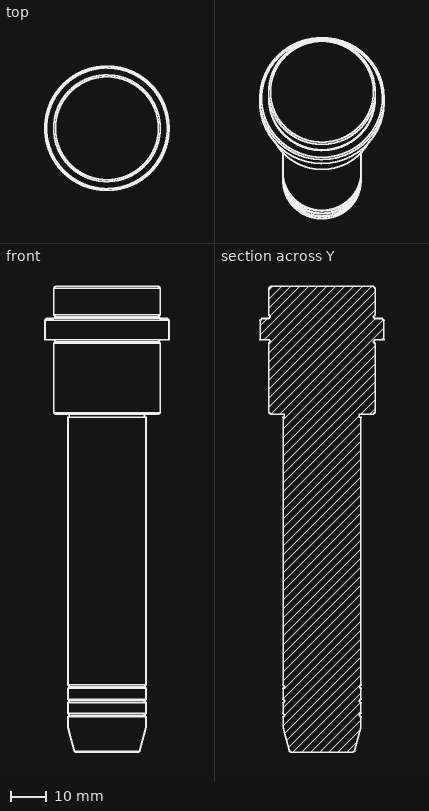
import cadquery as cq
import math

total_height = 131.0

head_radius = 30.0 / 2
head_chamfer = 0.5
collar_radius = 35.0 / 2
collar_chamfer = 0.5
shank_bottom = total_height - 36.0
collar_bottom = total_height - 15.0
collar_top = total_height - 9.0

pin_radius = 11.0
relief_radius = pin_radius - 0.4
relief_width = 0.8
tip_height = 7.1
tip_taper_angle = 15.0
tip_chamfer = 0.4

groove_width = 1.0
pin_groove_count = 3
pin_groove_span = 8.0
pin_groove_pitch = pin_groove_span / (pin_groove_count - 1)
lowest_pin_groove_bottom = 10.0


def cylinder(radius, bottom, top):
    """Upright cylinder on the Z axis between two heights."""
    return cq.Workplane("XY").workplane(offset=bottom).circle(radius).extrude(top - bottom)


def make_head():
    """Plug, collar and shank stacked on one axis."""
    plug = cylinder(head_radius, collar_top, total_height).faces(">Z").chamfer(head_chamfer)
    collar = cylinder(collar_radius, collar_bottom, collar_top).faces(">Z").chamfer(collar_chamfer)
    shank = cylinder(head_radius, shank_bottom, collar_bottom).faces("<Z").chamfer(head_chamfer)
    return collar.union(plug).union(shank)


def make_pin():
    """Tapered tip, straight shaft and the narrower relief below the head."""
    tip_radius = pin_radius - tip_height * math.tan(math.radians(tip_taper_angle))
    tip = (
        cq.Workplane("XY")
        .circle(tip_radius)
        .workplane(offset=tip_height)
        .circle(pin_radius)
        .loft(ruled=True)
        .faces("<Z")
        .chamfer(tip_chamfer)
    )
    shaft = cylinder(pin_radius, tip_height, shank_bottom - relief_width)
    relief = cylinder(relief_radius, shank_bottom - relief_width, shank_bottom)
    return tip.union(shaft).union(relief)


def groove_ring(surface_radius, bottom):
    """Triangular ring that cuts one V groove into a cylinder of the given radius."""
    half_width = groove_width / 2
    profile = [
        (surface_radius, bottom),
        (surface_radius - half_width, bottom + half_width),
        (surface_radius, bottom + groove_width),
    ]
    return cq.Workplane("XZ").polyline(profile).close().revolve(360, (0, 0, 0), (0, 1, 0))


result = make_head().union(make_pin())

for groove_bottom in (collar_top, collar_bottom - groove_width):
    result = result.cut(groove_ring(head_radius, groove_bottom))

for index in range(pin_groove_count):
    result = result.cut(groove_ring(pin_radius, lowest_pin_groove_bottom + index * pin_groove_pitch))